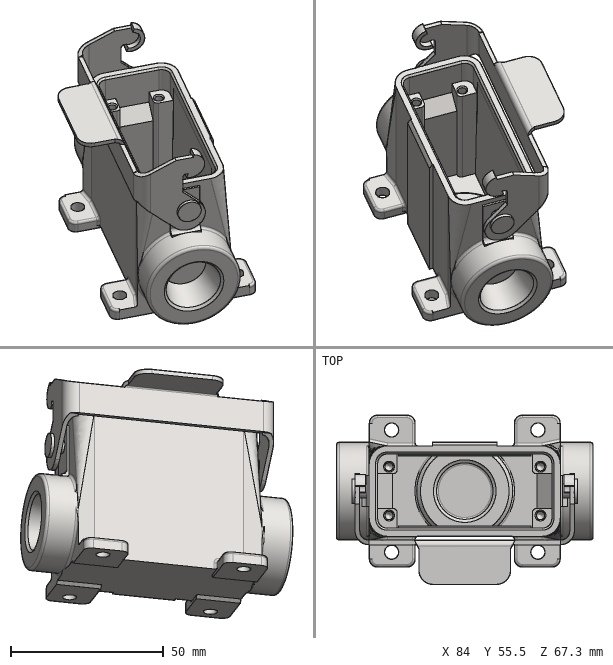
import cadquery as cq
import math

OVERALL_LENGTH = 84.0
BODY_HALF_X = 31.25
BODY_HALF_Y = 14.8
BODY_BOTTOM_Z = 1.1
BODY_TOP_Z = 52.1
TOP_CORNER_R = 5.9
FLARED_HALF_Y = 16.05
LOWER_CORNER_R = 0.1

BARREL_D = 32.0
BARREL_Z = BODY_BOTTOM_Z + BARREL_D / 2
BARREL_END_ROUND = 1.0
BARREL_FILLET = 0.8
BORE_MOUTH_D = 20.3
BORE_D = 18.6
BORE_FLOOR_D = 14.5
BORE_MOUTH_DEPTH = 0.8
BORE_DEPTH = 10.9

FOOT_INNER_X = 16.2
FOOT_OUTER_Y = 24.9
FOOT_INNER_Y = 8.9
FOOT_HEIGHT = 3.95
FOOT_CORNER_R = 2.7
FOOT_TOP_ROUND = 0.8
FOOT_BODY_FILLET = 1.0
FOOT_HOLE_D = 4.5
FOOT_HOLE_X = 23.9
FOOT_HOLE_Y = 20.0

KEY_HALF_X = 10.6
KEY_CHAMFER_Y = 1.0
KEY_CHAMFER_Z = 1.6

PAD_HALF_Y = 5.0
PAD_HEIGHT = 0.7
PAD_TOP_Z = 50.1
PAD_FILLET = 1.7

MOUTH_HALF_X = 28.5
MOUTH_HALF_Y = 12.1
MOUTH_CORNER_R = 3.0
MOUTH_CHAMFER = 0.7
POST_TOP_Z = 42.8
POST_FACE_X = 22.1
POST_FACE_Y = 5.7
POST_ROUND = 1.35
PANEL_HALF_X = 21.7
PANEL_TOP_Z = 48.1
PANEL_FOOT_THICKNESS = 0.7
CAVITY_FLOOR_Z = 3.4
END_WALL_X = 23.7
END_SLOPE_TOP_Z = 38.6
END_SLOPE_BOTTOM_Z = 34.4
SCREW_X = 24.8
SCREW_Y = 8.0
SCREW_HOLE_D = 2.7
SCREW_MOUTH_D = 3.5
SCREW_HOLE_DEPTH = 10.1

DISC_BASE_D = 32.6
DISC_TOP_D = 29.0
DISC_HEIGHT = 1.7
DISC_RECESS_MOUTH_D = 20.5
DISC_RECESS_D = 18.5
DISC_ROOT_FILLET = 0.6
DISC_RECESS_DEPTH = 1.2

SHEET = 1.5
LEVER_HALF_X = 35.9
LEVER_FRONT_Y = -17.55
LEVER_BEND_R = 4.5
BAR_BOTTOM_Z = 50.0
BAR_TOP_Z = 60.65
PIN_Z = 44.5
PIN_D = 4.5
PIN_HEAD_D = 8.0
PIN_HEAD_HEIGHT = 1.1
ARM_END_Y = -0.3
ARM_END_Z = 42.25
ARM_END_R = 6.05
ARM_REAR_Y = -2.0
ARM_TOP_Z = 66.3
ARM_CREST_Y = -4.3
NOTCH_R = 1.0
NOTCH_Z = 58.8
HOOK_Y = 0.75
HOOK_Z = 62.75
HOOK_R = 4.7
HOOK_DEPTH = 3.45
HOOK_TIP_ANGLE = 77
HOOK_END_ANGLE = -108

TAB_HALF_X = 15.0
TAB_END_Y = -30.6
TAB_BEND_R = 0.4
TAB_CORNER_R = 4.7
TAB_ROOT_FLARE = 1.4


def on_both_ends(solid):
    """Return the -X solid together with its mirror image on +X."""
    return solid.union(solid.mirror("YZ"))


def rounded_slab(half_x, half_y, corner_r, bottom_z, top_z):
    slab = cq.Workplane("XY", origin=(0, 0, bottom_z)).rect(2 * half_x, 2 * half_y)
    return slab.extrude(top_z - bottom_z).edges("|Z").fillet(corner_r)


def make_body():
    """Prism with flared corners, trimmed above the barrels so that each corner becomes a cone."""
    panel_x = BODY_HALF_X - TOP_CORNER_R
    quarter = [(panel_x, BODY_HALF_Y), (BODY_HALF_X, FLARED_HALF_Y)]
    right_side = quarter + [(x, -y) for x, y in reversed(quarter)]
    left_side = [(-x, -y) for x, y in right_side]
    prism = cq.Workplane("XY", origin=(0, 0, BODY_BOTTOM_Z)).polyline(right_side + left_side)
    prism = prism.close().extrude(BODY_TOP_Z - BODY_BOTTOM_Z)

    wide = cq.Sketch().rect(2 * BODY_HALF_X, 2 * FLARED_HALF_Y).vertices().fillet(LOWER_CORNER_R)
    narrow = cq.Sketch().rect(2 * BODY_HALF_X, 2 * BODY_HALF_Y).vertices().fillet(TOP_CORNER_R)
    rise = cq.Location(cq.Vector(0, 0, BODY_TOP_Z - BARREL_Z))
    upper = cq.Workplane("XY", origin=(0, 0, BARREL_Z))
    upper = upper.placeSketch(wide, narrow.moved(rise)).loft(ruled=True)
    lower = cq.Workplane("XY").box(
        2 * BODY_HALF_X, 2 * FLARED_HALF_Y, BARREL_Z, centered=(True, True, False)
    )
    return prism.intersect(upper.union(lower))


def make_key():
    """Vertical key on the rear wall with a bevelled top."""
    key = cq.Workplane("YZ", origin=(-KEY_HALF_X, 0, 0)).polyline([
        (MOUTH_HALF_Y, BODY_BOTTOM_Z),
        (FLARED_HALF_Y, BODY_BOTTOM_Z),
        (FLARED_HALF_Y, BODY_TOP_Z - KEY_CHAMFER_Z),
        (FLARED_HALF_Y - KEY_CHAMFER_Y, BODY_TOP_Z),
        (MOUTH_HALF_Y, BODY_TOP_Z),
    ])
    return key.close().extrude(2 * KEY_HALF_X)


def make_barrel():
    length = OVERALL_LENGTH / 2 - BODY_HALF_X
    barrel = cq.Workplane("YZ", origin=(-OVERALL_LENGTH / 2, 0, BARREL_Z)).circle(BARREL_D / 2)
    barrel = barrel.extrude(length).faces("<X").edges().fillet(BARREL_END_ROUND)
    return barrel.union(make_barrel_joint())


def make_barrel_joint():
    """Concave blend from the barrel to the end wall, cut off at the outline of the wall."""
    radius = BARREL_D / 2
    blend_mid = BARREL_FILLET * (1 - math.sqrt(0.5))
    ring = cq.Workplane("XY", origin=(-BODY_HALF_X, 0, BARREL_Z)).moveTo(0, 0)
    ring = ring.lineTo(0, radius + BARREL_FILLET)
    ring = ring.threePointArc((-blend_mid, radius + blend_mid), (-BARREL_FILLET, radius))
    ring = ring.lineTo(-BARREL_FILLET, 0).close().revolve(360, (0, 0), (1, 0))
    wall = cq.Workplane("YZ", origin=(-BODY_HALF_X - BARREL_FILLET, 0, 0)).polyline([
        (-FLARED_HALF_Y, BODY_BOTTOM_Z),
        (FLARED_HALF_Y, BODY_BOTTOM_Z),
        (FLARED_HALF_Y, BARREL_Z),
        (BODY_HALF_Y - TOP_CORNER_R, BODY_TOP_Z),
        (TOP_CORNER_R - BODY_HALF_Y, BODY_TOP_Z),
        (-FLARED_HALF_Y, BARREL_Z),
    ]).close().extrude(BARREL_FILLET)
    return ring.intersect(wall)


def make_pad():
    """Raised strip on the end wall, blending down onto the barrel with a concave fillet."""
    pad_x = BODY_HALF_X + PAD_HEIGHT
    barrel_top = BARREL_Z + BARREL_D / 2
    blend_mid = PAD_FILLET * (1 - math.sqrt(0.5))
    pad = cq.Workplane("XZ", origin=(0, PAD_HALF_Y, 0)).moveTo(-MOUTH_HALF_X, PAD_TOP_Z)
    pad = pad.lineTo(-pad_x, PAD_TOP_Z).lineTo(-pad_x, barrel_top + PAD_FILLET)
    pad = pad.threePointArc(
        (-pad_x - blend_mid, barrel_top + blend_mid), (-pad_x - PAD_FILLET, barrel_top)
    )
    pad = pad.lineTo(-pad_x - PAD_FILLET, BARREL_Z).lineTo(-MOUTH_HALF_X, BARREL_Z)
    return pad.close().extrude(2 * PAD_HALF_Y)


def make_bore():
    """Tapered blind bore with a countersunk mouth."""
    bore = cq.Workplane("XY", origin=(-OVERALL_LENGTH / 2, 0, BARREL_Z)).polyline([
        (0, 0),
        (0, BORE_MOUTH_D / 2),
        (BORE_MOUTH_DEPTH, BORE_D / 2),
        (BORE_DEPTH, BORE_FLOOR_D / 2),
        (BORE_DEPTH, 0),
    ])
    return bore.close().revolve(360, (0, 0), (1, 0))


def make_foot():
    """Foot at the -X +Y corner; its inner part runs under the body as a pad."""
    foot = cq.Workplane("XY").box(
        BODY_HALF_X - FOOT_INNER_X, FOOT_OUTER_Y - FOOT_INNER_Y, FOOT_HEIGHT, centered=False
    ).translate((-BODY_HALF_X, FOOT_INNER_Y, 0))
    foot = foot.faces("<Y").edges("<Z").chamfer(BODY_BOTTOM_Z)
    foot = foot.faces(">Y").edges("|Z").fillet(FOOT_CORNER_R)
    foot = foot.faces(">Z").edges(">Y or >X or (not (|X or |Y))").fillet(FOOT_TOP_ROUND)
    flush_side = cq.Workplane("XY").box(
        2 * FOOT_TOP_ROUND, FOOT_OUTER_Y - FOOT_CORNER_R - FLARED_HALF_Y, FOOT_HEIGHT, centered=False
    )
    return foot.union(flush_side.translate((-BODY_HALF_X, FLARED_HALF_Y, 0)))


def make_foot_joint():
    """Concave blend where the foot meets the panel and the flare of the body wall."""
    panel_x = BODY_HALF_X - TOP_CORNER_R
    flare_slope = (FLARED_HALF_Y - BODY_HALF_Y) / TOP_CORNER_R
    far_x = BODY_HALF_X + FOOT_HOLE_D
    far_y = BODY_HALF_Y + (far_x - panel_x) * flare_slope
    near_x = FOOT_INNER_X - 2 * FOOT_BODY_FILLET
    wall = cq.Workplane("XY").polyline([
        (-near_x, FOOT_INNER_Y),
        (-near_x, BODY_HALF_Y),
        (-panel_x, BODY_HALF_Y),
        (-far_x, far_y),
        (-far_x, FOOT_INNER_Y),
    ]).close().extrude(2 * FOOT_HEIGHT)
    shelf = cq.Workplane("XY").box(
        far_x - FOOT_INNER_X, FOOT_OUTER_Y - FOOT_INNER_Y, FOOT_HEIGHT, centered=False
    ).translate((-far_x, FOOT_INNER_Y, 0))
    shelf = shelf.faces(">X").edges(">Z").fillet(FOOT_TOP_ROUND)
    joint_edges = cq.selectors.BoxSelector(
        (-far_x, BODY_HALF_Y - FOOT_TOP_ROUND, FOOT_TOP_ROUND),
        (FOOT_BODY_FILLET - FOOT_INNER_X, far_y, FOOT_HEIGHT + FOOT_TOP_ROUND),
    )
    joint = wall.union(shelf).edges(joint_edges).fillet(FOOT_BODY_FILLET)
    limits = cq.Workplane("XY").box(
        BODY_HALF_X - FOOT_INNER_X + FOOT_BODY_FILLET,
        FLARED_HALF_Y + FOOT_BODY_FILLET - MOUTH_HALF_Y,
        FOOT_HEIGHT + FOOT_BODY_FILLET - BODY_BOTTOM_Z,
        centered=False,
    ).translate((-BODY_HALF_X, MOUTH_HALF_Y, BODY_BOTTOM_Z))
    return joint.intersect(limits)


def make_feet():
    foot = on_both_ends(make_foot().union(make_foot_joint()))
    return foot.union(foot.mirror("XZ"))


def foot_holes():
    spots = [(sx * FOOT_HOLE_X, sy * FOOT_HOLE_Y) for sx in (-1, 1) for sy in (-1, 1)]
    return cq.Workplane("XY").pushPoints(spots).circle(FOOT_HOLE_D / 2).extrude(FOOT_HEIGHT)


def make_mouth():
    """Plug opening with a bevelled rim, running down to the tops of the screw posts."""
    mouth = rounded_slab(MOUTH_HALF_X, MOUTH_HALF_Y, MOUTH_CORNER_R, POST_TOP_Z, BODY_TOP_Z)
    bevel = rounded_slab(
        MOUTH_HALF_X + MOUTH_CHAMFER,
        MOUTH_HALF_Y + MOUTH_CHAMFER,
        MOUTH_CORNER_R + MOUTH_CHAMFER,
        BODY_TOP_Z - MOUTH_CHAMFER,
        BODY_TOP_Z + MOUTH_CHAMFER,
    )
    return mouth.union(bevel.faces("<Z").edges().chamfer(MOUTH_CHAMFER))


def make_well():
    """Well below the mouth that leaves a screw post standing in each corner."""
    well = cq.Workplane("XY", origin=(0, 0, CAVITY_FLOOR_Z)).rect(2 * POST_FACE_X, 2 * MOUTH_HALF_Y)
    well = well.extrude(POST_TOP_Z - CAVITY_FLOOR_Z)
    right_wall = [
        (END_WALL_X, CAVITY_FLOOR_Z),
        (END_WALL_X, END_SLOPE_BOTTOM_Z),
        (MOUTH_HALF_X, END_SLOPE_TOP_Z),
        (MOUTH_HALF_X, POST_TOP_Z),
    ]
    left_wall = [(-x, z) for x, z in reversed(right_wall)]
    ends = cq.Workplane("XZ", origin=(0, POST_FACE_Y, 0)).polyline(right_wall + left_wall)
    well = well.union(ends.close().extrude(2 * POST_FACE_Y))
    post_corners = cq.selectors.BoxSelector(
        (-POST_FACE_X - POST_ROUND / 2, -POST_FACE_Y - POST_ROUND / 2, CAVITY_FLOOR_Z),
        (POST_FACE_X + POST_ROUND / 2, POST_FACE_Y + POST_ROUND / 2, POST_TOP_Z),
    )
    return well.edges("|Z").edges(post_corners).fillet(POST_ROUND)


def make_wall_panel():
    """Wedge on the rear long wall of the cavity."""
    panel = cq.Workplane("YZ", origin=(-PANEL_HALF_X, 0, 0)).polyline([
        (MOUTH_HALF_Y, PANEL_TOP_Z),
        (MOUTH_HALF_Y, CAVITY_FLOOR_Z),
        (MOUTH_HALF_Y - PANEL_FOOT_THICKNESS, CAVITY_FLOOR_Z),
    ])
    return panel.close().extrude(2 * PANEL_HALF_X)


def make_cavity():
    panel = make_wall_panel()
    return make_mouth().union(make_well()).cut(panel).cut(panel.mirror("XZ"))


def make_floor_disc():
    """Raised disc with bevelled edge and a bevelled round recess, trimmed to the cavity."""
    top_z = CAVITY_FLOOR_Z + DISC_HEIGHT
    recess_z = top_z - DISC_RECESS_DEPTH
    bend = DISC_ROOT_FILLET * (1 - math.sqrt(0.5))
    disc = cq.Workplane("XZ").moveTo(0, BODY_BOTTOM_Z).lineTo(DISC_BASE_D / 2, BODY_BOTTOM_Z)
    disc = disc.lineTo(DISC_BASE_D / 2, CAVITY_FLOOR_Z)
    disc = disc.threePointArc(
        (DISC_BASE_D / 2 - DISC_ROOT_FILLET + bend, CAVITY_FLOOR_Z + bend),
        (DISC_BASE_D / 2 - DISC_ROOT_FILLET, CAVITY_FLOOR_Z + DISC_ROOT_FILLET),
    )
    disc = disc.lineTo(DISC_TOP_D / 2, top_z).lineTo(DISC_RECESS_MOUTH_D / 2, top_z)
    disc = disc.lineTo(DISC_RECESS_D / 2, recess_z + DISC_ROOT_FILLET)
    disc = disc.threePointArc(
        (DISC_RECESS_D / 2 - bend, recess_z + bend), (DISC_RECESS_D / 2 - DISC_ROOT_FILLET, recess_z)
    )
    disc = disc.lineTo(0, recess_z).close().revolve(360, (0, 0), (0, 1))
    limits = cq.Workplane("XY").rect(2 * BODY_HALF_X, 2 * MOUTH_HALF_Y).extrude(BODY_TOP_Z)
    return disc.intersect(limits)


def screw_holes():
    mouth_depth = (SCREW_MOUTH_D - SCREW_HOLE_D) / 2
    hole = cq.Workplane("XZ").polyline([
        (0, POST_TOP_Z),
        (SCREW_MOUTH_D / 2, POST_TOP_Z),
        (SCREW_HOLE_D / 2, POST_TOP_Z - mouth_depth),
        (SCREW_HOLE_D / 2, POST_TOP_Z - SCREW_HOLE_DEPTH),
        (0, POST_TOP_Z - SCREW_HOLE_DEPTH - SCREW_HOLE_D / 2),
    ]).close().revolve(360, (0, 0), (0, 1))
    holes = cq.Workplane("XY")
    for side_x in (-1, 1):
        for side_y in (-1, 1):
            holes = holes.union(hole.translate((side_x * SCREW_X, side_y * SCREW_Y, 0)))
    return holes


def hook_point(radius, degrees):
    angle = math.radians(degrees)
    return (HOOK_Y + radius * math.cos(angle), HOOK_Z + radius * math.sin(angle))


def lever_side_profile():
    """Side silhouette of the lever, as a slab across its full width."""
    diagonal = ARM_END_R * math.sqrt(0.5)
    rear_tangent = (ARM_END_Y + diagonal, ARM_END_Z + diagonal)
    front_tangent = (ARM_END_Y - diagonal, ARM_END_Z - diagonal)
    arm_rear = (ARM_REAR_Y, rear_tangent[1] + rear_tangent[0] - ARM_REAR_Y)
    arm_front = (front_tangent[0] + front_tangent[1] - BAR_BOTTOM_Z, BAR_BOTTOM_Z)
    hook_top_y = HOOK_Y + (ARM_TOP_Z - HOOK_Z) / math.tan(math.radians(HOOK_TIP_ANGLE))

    side = cq.Workplane("YZ", origin=(-LEVER_HALF_X, 0, 0)).moveTo(*arm_front)
    side = side.lineTo(LEVER_FRONT_Y, BAR_BOTTOM_Z).lineTo(LEVER_FRONT_Y, BAR_TOP_Z)
    side = side.lineTo(ARM_CREST_Y, ARM_TOP_Z)
    side = side.lineTo(hook_top_y, ARM_TOP_Z).lineTo(*hook_point(HOOK_R, HOOK_TIP_ANGLE))
    side = side.threePointArc(hook_point(HOOK_R, 0), hook_point(HOOK_R, HOOK_END_ANGLE))
    side = side.lineTo(*hook_point(HOOK_R - SHEET, HOOK_END_ANGLE))
    side = side.threePointArc((ARM_REAR_Y + NOTCH_R, NOTCH_Z + NOTCH_R), (ARM_REAR_Y, NOTCH_Z))
    side = side.lineTo(*arm_rear).lineTo(*rear_tangent)
    side = side.threePointArc((ARM_END_Y + diagonal, ARM_END_Z - diagonal), front_tangent)
    return side.close().extrude(2 * LEVER_HALF_X)


def lever_strip():
    """U-shaped strip in plan, tall enough to hold the whole side silhouette."""
    rear_y = HOOK_Y + 2 * HOOK_R
    height = HOOK_Z + 2 * HOOK_R

    def bent_block(inset, corner_r):
        half_x = LEVER_HALF_X - inset
        front_y = LEVER_FRONT_Y + inset
        block = cq.Workplane("XY").box(
            2 * half_x, rear_y - front_y, height, centered=(True, False, False)
        )
        return block.translate((0, front_y, 0)).faces("<Y").edges("|Z").fillet(corner_r)

    return bent_block(0, LEVER_BEND_R).cut(bent_block(SHEET, LEVER_BEND_R - SHEET))


def make_hook_flange():
    """Curled rim of the hook, reaching inward from the arm."""
    inner_r = HOOK_R - SHEET
    flange = cq.Workplane("YZ", origin=(-LEVER_HALF_X, 0, 0))
    flange = flange.moveTo(*hook_point(HOOK_R, HOOK_TIP_ANGLE))
    flange = flange.threePointArc(hook_point(HOOK_R, 0), hook_point(HOOK_R, HOOK_END_ANGLE))
    flange = flange.lineTo(*hook_point(inner_r, HOOK_END_ANGLE))
    flange = flange.threePointArc(hook_point(inner_r, 0), hook_point(inner_r, HOOK_TIP_ANGLE))
    return flange.close().extrude(HOOK_DEPTH)


def make_pin():
    pin = cq.Workplane("YZ", origin=(-LEVER_HALF_X, 0, PIN_Z)).circle(PIN_D / 2)
    pin = pin.extrude(LEVER_HALF_X - BODY_HALF_X)
    head = cq.Workplane("YZ", origin=(-LEVER_HALF_X, 0, PIN_Z)).circle(PIN_HEAD_D / 2)
    return pin.union(head.extrude(-PIN_HEAD_HEIGHT))


def make_tab():
    """Thumb tab folded forward from the top of the bar, flaring out at its root."""
    outer_r = TAB_BEND_R + SHEET
    bend_y = LEVER_FRONT_Y - TAB_BEND_R
    arc_share = math.sqrt(0.5)
    root_half_x = TAB_HALF_X + TAB_ROOT_FLARE
    fold = cq.Workplane("YZ", origin=(-root_half_x, 0, 0))
    fold = fold.moveTo(bend_y + outer_r, BAR_TOP_Z)
    fold = fold.threePointArc(
        (bend_y + outer_r * arc_share, BAR_TOP_Z + outer_r * arc_share), (bend_y, BAR_TOP_Z + outer_r)
    )
    fold = fold.lineTo(TAB_END_Y, BAR_TOP_Z + outer_r).lineTo(TAB_END_Y, BAR_TOP_Z + TAB_BEND_R)
    fold = fold.lineTo(bend_y, BAR_TOP_Z + TAB_BEND_R)
    fold = fold.threePointArc(
        (bend_y + TAB_BEND_R * arc_share, BAR_TOP_Z + TAB_BEND_R * arc_share),
        (LEVER_FRONT_Y, BAR_TOP_Z),
    )
    fold = fold.close().extrude(2 * root_half_x)

    root_y = LEVER_FRONT_Y + SHEET
    neck_y = root_y - 2 * TAB_ROOT_FLARE
    plan = cq.Workplane("XY").polyline([
        (-root_half_x, root_y),
        (root_half_x, root_y),
        (TAB_HALF_X, neck_y),
        (TAB_HALF_X, TAB_END_Y),
        (-TAB_HALF_X, TAB_END_Y),
        (-TAB_HALF_X, neck_y),
    ]).close().extrude(BAR_TOP_Z + 2 * outer_r)
    plan = plan.faces("<Y").edges("|Z").fillet(TAB_CORNER_R)
    return fold.intersect(plan)


def beyond_bar_edges():
    """Material to trim so that the straight bar has level upper and lower edges."""
    half_x = LEVER_HALF_X - LEVER_BEND_R
    below = cq.Workplane("XY", origin=(0, LEVER_FRONT_Y, 0)).rect(2 * half_x, 2 * SHEET)
    above = cq.Workplane("XY", origin=(0, LEVER_FRONT_Y, BAR_TOP_Z)).rect(2 * half_x, 2 * SHEET)
    return below.extrude(BAR_BOTTOM_Z).union(above.extrude(SHEET))


def make_lever():
    lever = lever_strip().intersect(lever_side_profile()).cut(beyond_bar_edges())
    lever = lever.union(on_both_ends(make_hook_flange()))
    return lever.union(on_both_ends(make_pin())).union(make_tab())


housing = make_body().union(make_feet())
housing = housing.union(make_key())
housing = housing.union(on_both_ends(make_barrel()))
housing = housing.union(on_both_ends(make_pad()))
housing = housing.cut(make_cavity()).union(make_floor_disc())
housing = housing.cut(on_both_ends(make_bore())).cut(screw_holes()).cut(foot_holes())
result = housing.union(make_lever())